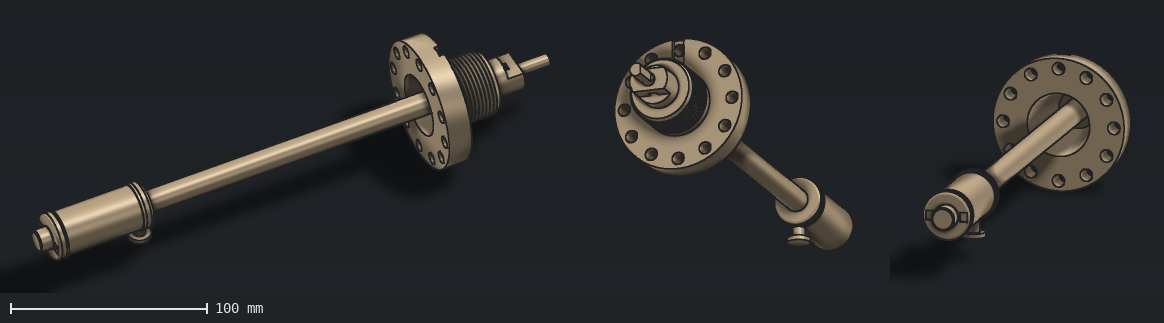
import cadquery as cq
import math

flange_thickness = 13.0
tip_y = -217.5
overall_length = 290.6
shaft_end_y = tip_y + overall_length

flange_radius = 34.74
bolt_count = 12
bolt_circle_radius = 29.3
bolt_hole_radius = 3.2
bore_mouth_radius = 16.5
bore_floor_radius = 10.0
bore_floor_y = 36.0
leak_notch_width = 6.3
leak_notch_length = 2.8

collar_radius = 17.2
collar_length = 4.4
bellows_root_radius = 14.9
bellows_pitch = 2.07
bellows_count = 9
end_disc_radius = 15.7
end_disc_rim_radius = 16.8
end_disc_length = 2.6

hub_radius = 10.2
hub_length = 16.7
hub_flat_length = 8.8
hub_flat_offset = 5.75
hub_slot_width = 4.4
hub_slot_length = 3.6

shaft_radius = 3.4
shaft_shoulder_radius = 4.2
shaft_flat_offset = 2.45
shaft_ramp_start = 3.3
shaft_ramp_end = 1.5

tube_radius = 6.0
tube_end_chamfer = 0.7

carriage_front_y = tip_y + 7.0
carriage_length = 54.4
barrel_radius = 12.0
front_rim_length = 5.6
rear_rim_length = 6.2
rim_radius = 12.8
rim_edge_fillet = 1.5
rim_groove_width = 2.7
rim_groove_depth = 0.3
front_groove_inset = 1.1
rear_groove_inset = 1.8
bore_chamfer = 0.4
dog_slot_width = 5.0
dog_slot_inner_radius = 7.0
dog_slot_outer_radius = 11.0
dog_slot_depth = 1.5

screw_inset = 2.7
screw_shank_radius = 1.2
screw_gap = 1.3
screw_stem_radius = 3.2
screw_stem_length = 5.6
screw_head_radius = 6.1
screw_head_length = 2.4

collar_end_y = flange_thickness + collar_length
bellows_end_y = collar_end_y + bellows_count * bellows_pitch
end_disc_end_y = bellows_end_y + end_disc_length
hub_end_y = end_disc_end_y + hub_length
carriage_rear_y = carriage_front_y + carriage_length


def cylinder_y(radius, start_y, end_y):
    """Solid cylinder on the Y axis between two stations."""
    return cq.Workplane("XZ", origin=(0, start_y, 0)).circle(radius).extrude(start_y - end_y)


def box_between(x_range, y_range, z_range):
    """Box given by its limits along each axis."""
    size = [high - low for low, high in (x_range, y_range, z_range)]
    corner = (x_range[0], y_range[0], z_range[0])
    return cq.Workplane("XY").box(*size, centered=False).translate(corner)


def make_drive_envelope():
    """Revolved outline of flange, collar, bellows, end disc and hub."""
    outline = (
        cq.Workplane("XY")
        .moveTo(0, 0)
        .lineTo(flange_radius, 0)
        .lineTo(flange_radius, flange_thickness)
        .lineTo(collar_radius, flange_thickness)
        .lineTo(collar_radius, collar_end_y)
    )
    for index in range(bellows_count):
        fold_y = collar_end_y + index * bellows_pitch
        outline = (
            outline.lineTo(bellows_root_radius, fold_y + bellows_pitch / 2)
            .lineTo(collar_radius, fold_y + bellows_pitch)
        )
    outline = (
        outline.lineTo(end_disc_rim_radius, bellows_end_y)
        .lineTo(end_disc_radius, end_disc_end_y)
        .lineTo(hub_radius, end_disc_end_y)
        .lineTo(hub_radius, hub_end_y)
        .lineTo(0, hub_end_y)
        .close()
    )
    return outline.revolve(360, (0, 0, 0), (0, 1, 0))


def make_bore():
    """Conical clearance around the guide tube, open at the front of the flange."""
    return (
        cq.Workplane("XY")
        .polyline([(0, 0), (bore_mouth_radius, 0), (bore_floor_radius, bore_floor_y), (0, bore_floor_y)])
        .close()
        .revolve(360, (0, 0, 0), (0, 1, 0))
    )


def make_bolt_holes():
    return (
        cq.Workplane("XZ")
        .polarArray(bolt_circle_radius, 0, 360, bolt_count)
        .circle(bolt_hole_radius)
        .extrude(-flange_thickness)
    )


def make_leak_notch():
    """Radial notch across the top of the flange's rear face, from the collar to the rim."""
    return box_between(
        (-leak_notch_width / 2, leak_notch_width / 2),
        (flange_thickness - leak_notch_length, flange_thickness),
        (math.sqrt(collar_radius ** 2 - (leak_notch_width / 2) ** 2), flange_radius),
    )


def cut_hub_flats(body):
    """Upper and lower wrench flats, each with a window over the shaft at its inner end."""
    flat_start_y = hub_end_y - hub_flat_length
    for side in (1, -1):
        flat = box_between(
            (-hub_radius, hub_radius),
            (flat_start_y, hub_end_y),
            sorted((side * hub_flat_offset, side * hub_radius)),
        )
        slot = box_between(
            (-hub_slot_width / 2, hub_slot_width / 2),
            (flat_start_y, flat_start_y + hub_slot_length),
            sorted((0, side * hub_flat_offset)),
        )
        body = body.cut(flat).cut(slot)
    return body


def make_shaft():
    """Output shaft whose -X flat runs out on a ramp short of the hub; a shoulder fills the hub windows."""
    window_start_y = hub_end_y - hub_flat_length
    shoulder_end_y = window_start_y + hub_slot_length / 2
    shaft = cylinder_y(shaft_radius, window_start_y, shaft_end_y)
    shoulder = cylinder_y(shaft_shoulder_radius, window_start_y, shoulder_end_y)
    shaft = shaft.union(shoulder)
    flat = (
        cq.Workplane("XY")
        .polyline([
            (-shaft_radius, shaft_end_y),
            (-shaft_flat_offset, shaft_end_y),
            (-shaft_flat_offset, hub_end_y + shaft_ramp_start),
            (-shaft_radius, hub_end_y + shaft_ramp_end),
        ])
        .close()
        .extrude(shaft_radius, both=True)
    )
    return shaft.cut(flat)


def make_drive():
    """Flange, bellows, hub, shaft and guide tube in one solid."""
    body = make_drive_envelope().cut(make_bore()).cut(make_bolt_holes())
    body = body.cut(make_leak_notch())
    body = cut_hub_flats(body)
    guide_tube = cylinder_y(tube_radius, tip_y, bore_floor_y).faces("<Y").chamfer(tube_end_chamfer)
    return body.union(guide_tube).union(make_shaft())


def add_rim_groove(outline, start_y):
    """Extend an outline along a rim with one shallow square groove."""
    floor_radius = rim_radius - rim_groove_depth
    end_y = start_y + rim_groove_width
    return (
        outline.lineTo(rim_radius, start_y)
        .lineTo(floor_radius, start_y)
        .lineTo(floor_radius, end_y)
        .lineTo(rim_radius, end_y)
    )


def make_carriage_shell():
    """Revolved barrel with a grooved rim at each end and a through bore."""
    front_rim_end_y = carriage_front_y + front_rim_length
    rear_rim_start_y = carriage_rear_y - rear_rim_length
    outline = (
        cq.Workplane("XY")
        .moveTo(tube_radius, carriage_front_y + bore_chamfer)
        .lineTo(tube_radius + bore_chamfer, carriage_front_y)
        .lineTo(rim_radius - rim_edge_fillet, carriage_front_y)
        .radiusArc((rim_radius, carriage_front_y + rim_edge_fillet), -rim_edge_fillet)
    )
    outline = add_rim_groove(outline, front_rim_end_y - front_groove_inset - rim_groove_width)
    outline = (
        outline.lineTo(rim_radius, front_rim_end_y)
        .lineTo(barrel_radius, front_rim_end_y)
        .lineTo(barrel_radius, rear_rim_start_y)
        .lineTo(rim_radius, rear_rim_start_y)
    )
    outline = add_rim_groove(outline, rear_rim_start_y + rear_groove_inset)
    outline = (
        outline.lineTo(rim_radius, carriage_rear_y - rim_edge_fillet)
        .radiusArc((rim_radius - rim_edge_fillet, carriage_rear_y), -rim_edge_fillet)
        .lineTo(tube_radius, carriage_rear_y)
        .close()
    )
    return outline.revolve(360, (0, 0, 0), (0, 1, 0))


def make_thumbscrew():
    """Thumbscrew pointing down from the rear rim."""
    screw_y = carriage_rear_y - screw_inset
    stem_top = rim_radius + screw_gap
    head_top = stem_top + screw_stem_length

    def disc(radius, top, bottom):
        return cq.Workplane("XY", origin=(0, screw_y, -top)).circle(radius).extrude(top - bottom)

    shank = disc(screw_shank_radius, (tube_radius + rim_radius) / 2, stem_top)
    stem = disc(screw_stem_radius, stem_top, head_top)
    head = disc(screw_head_radius, head_top, head_top + screw_head_length)
    return shank.union(stem).union(head)


def make_carriage():
    """Magnet carriage that slides on the guide tube, with its thumbscrew."""
    body = make_carriage_shell().union(make_thumbscrew())
    for side in (1, -1):
        dog_slot = box_between(
            sorted((side * dog_slot_inner_radius, side * dog_slot_outer_radius)),
            (carriage_front_y, carriage_front_y + dog_slot_depth),
            (-dog_slot_width / 2, dog_slot_width / 2),
        )
        body = body.cut(dog_slot)
    return body


drive = make_drive()
carriage = make_carriage()

result = cq.Compound.makeCompound([drive.val(), carriage.val()])